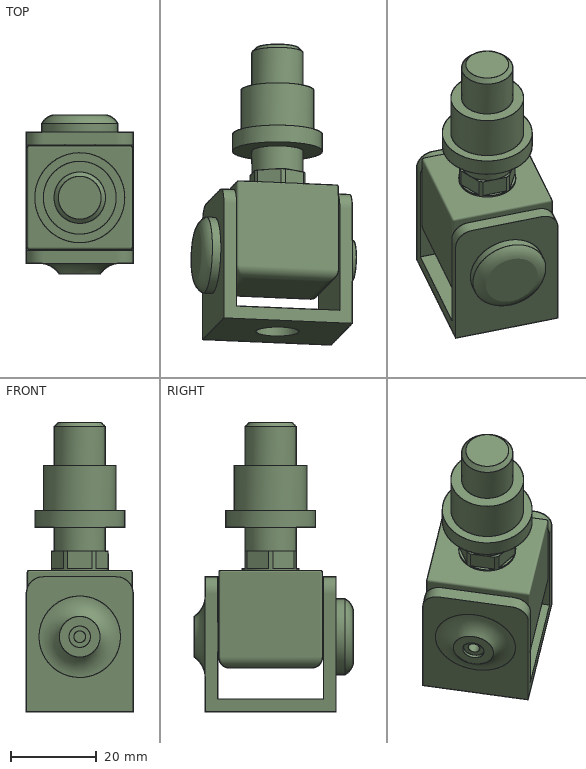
import cadquery as cq
import math

bracket_width = 25.0
bracket_wall = 3.0
bracket_gap = 24.6
bracket_height = 31.5
bracket_corner_radius = 4.0
base_hole_diameter = 10.0
bracket_depth = bracket_gap + 2 * bracket_wall
bracket_side_y = bracket_depth / 2

pin_z = 17.5
pin_diameter = 7.0
pin_head_diameter = 17.8
pin_head_thickness = 4.0
pin_head_rim_thickness = 2.0
pin_head_face_diameter = 12.6
pin_head_round_radius = 4.0
dome_diameter = 19.0
dome_face_diameter = 9.5
dome_height = 2.55
recess_diameter = 5.0
recess_depth = 0.75
centre_hole_diameter = 2.75
centre_hole_depth = 3.0

block_width = 24.5
block_depth = 24.2
block_bottom = 10.2
block_top = 33.0
block_edge_fillet = 0.5
block_bottom_fillet = 2.5
block_pin_hole_diameter = 7.2

stud_diameter = 12.0
stud_top = 67.5
stud_chamfer = 1.0
hex_across_flats = 12.0
hex_corner_diameter = 13.3
hex_bottom = 33.4
hex_top = 37.5
flange_diameter = 21.0
flange_bottom = 43.0
flange_top = 47.0
sleeve_diameter = 17.0
sleeve_top = 57.5


def cylinder_z(diameter, bottom, top):
    """Upright cylinder on the Z axis."""
    return cq.Workplane("XY").workplane(offset=bottom).circle(diameter / 2).extrude(top - bottom)


def cylinder_y(diameter, start, end):
    """Cylinder on the pin axis, running from Y = start to Y = end."""
    plane = cq.Plane(origin=(0, start, pin_z), xDir=(1, 0, 0), normal=(0, 1, 0))
    return cq.Workplane(plane).circle(diameter / 2).extrude(end - start)


def make_bracket():
    outer = cq.Workplane("XY").box(
        bracket_width, bracket_depth, bracket_height, centered=(True, True, False)
    )
    outer = outer.edges("|Y and >Z").fillet(bracket_corner_radius)
    opening = (
        cq.Workplane("XY")
        .workplane(offset=bracket_wall)
        .box(bracket_width, bracket_gap, bracket_height, centered=(True, True, False))
    )
    base_hole = cylinder_z(base_hole_diameter, 0, bracket_wall)
    pin_holes = cylinder_y(pin_diameter, -bracket_side_y, bracket_side_y)
    return outer.cut(opening).cut(base_hole).cut(pin_holes)


def make_block():
    block = (
        cq.Workplane("XY")
        .workplane(offset=block_bottom)
        .box(block_width, block_depth, block_top - block_bottom, centered=(True, True, False))
    )
    block = block.edges("<Z").fillet(block_bottom_fillet)
    block = block.edges("|Z").fillet(block_edge_fillet)
    block = block.edges(">Z").fillet(block_edge_fillet)
    return block.cut(cylinder_y(block_pin_hole_diameter, -block_depth / 2, block_depth / 2))


def make_stud():
    foot = cylinder_z(hex_corner_diameter, block_top, hex_bottom)
    hexagon = (
        cq.Workplane("XY")
        .workplane(offset=hex_bottom)
        .polygon(6, hex_across_flats / math.cos(math.pi / 6))
        .extrude(hex_top - hex_bottom)
        .intersect(cylinder_z(hex_corner_diameter, hex_bottom, hex_top))
    )
    shaft = cylinder_z(stud_diameter, hex_bottom, stud_top).faces(">Z").chamfer(stud_chamfer)
    flange = cylinder_z(flange_diameter, flange_bottom, flange_top)
    sleeve = cylinder_z(sleeve_diameter, flange_top, sleeve_top)
    return foot.union(hexagon).union(shaft).union(flange).union(sleeve)


def make_dome():
    """Head on the -Y side: a concave flare that leaves the bracket wall tangentially."""
    outer_radius = dome_diameter / 2
    face_radius = dome_face_diameter / 2
    flare_run = outer_radius - face_radius
    flare_radius = (flare_run**2 + dome_height**2) / (2 * dome_height)
    half_angle = math.asin(flare_run / flare_radius) / 2
    middle_radius = outer_radius - flare_radius * math.sin(half_angle)
    middle_height = flare_radius * (1 - math.cos(half_angle))
    dome = (
        cq.Workplane("XY")
        .moveTo(0, -bracket_side_y)
        .lineTo(outer_radius, -bracket_side_y)
        .threePointArc(
            (middle_radius, -bracket_side_y - middle_height),
            (face_radius, -bracket_side_y - dome_height),
        )
        .lineTo(0, -bracket_side_y - dome_height)
        .close()
        .revolve(360, (0, 0, 0), (0, 1, 0))
    )
    return dome.translate((0, 0, pin_z))


def make_head():
    """Head on the +Y side: a straight rim, then a convex round up to the flat end."""
    outer_radius = pin_head_diameter / 2
    face_radius = pin_head_face_diameter / 2
    rim_y = bracket_side_y + pin_head_rim_thickness
    end_y = bracket_side_y + pin_head_thickness
    head = (
        cq.Workplane("XY")
        .moveTo(0, bracket_side_y)
        .lineTo(outer_radius, bracket_side_y)
        .lineTo(outer_radius, rim_y)
        .radiusArc((face_radius, end_y), -pin_head_round_radius)
        .lineTo(0, end_y)
        .close()
        .revolve(360, (0, 0, 0), (0, 1, 0))
    )
    return head.translate((0, 0, pin_z))


def make_pin():
    face_y = -bracket_side_y - dome_height
    shank = cylinder_y(pin_diameter, -bracket_side_y, bracket_side_y)
    recess = cylinder_y(recess_diameter, face_y, face_y + recess_depth)
    centre_hole = cylinder_y(centre_hole_diameter, face_y, face_y + recess_depth + centre_hole_depth)
    return shank.union(make_head()).union(make_dome()).cut(recess).cut(centre_hole)


bracket = make_bracket()
block = make_block()
stud = make_stud()
pin = make_pin()

result = cq.Compound.makeCompound([bracket.val(), block.val(), stud.val(), pin.val()])